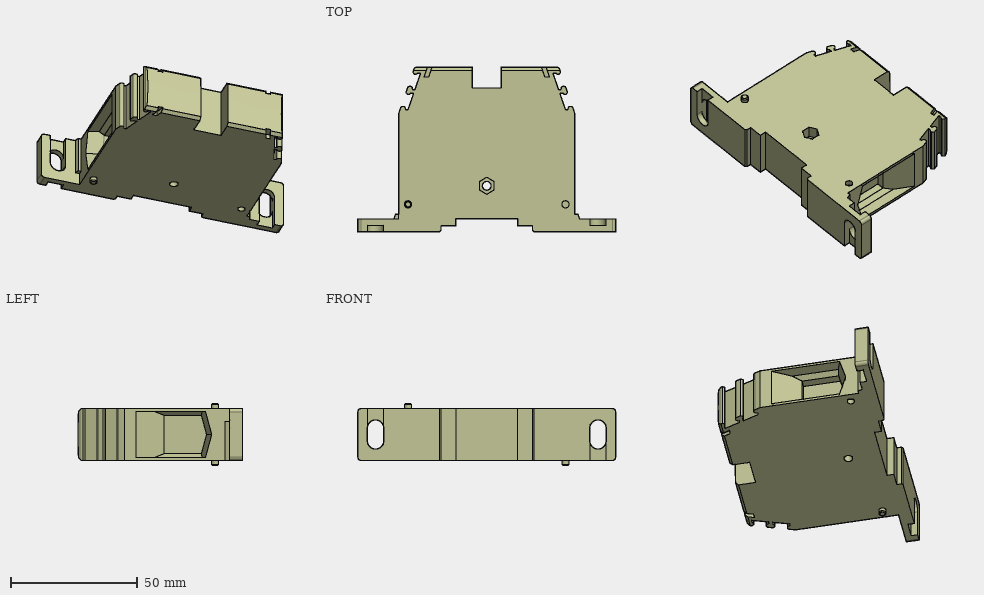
import cadquery as cq
import math


LENGTH = 102.0
HEIGHT = 65.2
THICKNESS = 20.6
HALF_THICKNESS = THICKNESS / 2
BODY_HALF_WIDTH = 34.9

FOOT_HEIGHT = 5.2
FOOT_CORNER_RADIUS = 1.3
RAIL_HALF_WIDTH = 12.2
RAIL_STEP_HALF_WIDTH = 18.1
RAIL_STEP_HEIGHT = 2.4
RAIL_CHAMFER = 0.6

SHOULDER_TAN = math.tan(math.radians(19))
SHOULDER_TOP_X = 26.2
SHOULDER_TOP_Y = 62.7
TOOTH_REACH = 3.2
TOOTH_PITCH = 8.0
HOOK_TIP_Y = 63.1
BARB_DROP = 0.8
BARB_FACET_RUN = 0.6
BARB_TOE_RUN = 1.2
BARB_HEEL_RUN = 1.8
BUMP_ABOVE_TIP = 1.1
BUMP_HEIGHT = 1.3
BUMP_FLANK_RISE = 0.7
BUMP_CREST_RUN = 2.1
BUMP_INNER_RUN = 1.0
BUMP_INNER_RISE = 0.7
VALLEY_WIDTH = 0.8
FLANK_BOTTOM_Y = 46.7
HOOK_CORNER_Y = 64.3
HOOK_CORNER_RUN = 0.8

CROWN_RISE = 0.2
TOP_CHAMFER = 1.2
GAP_HALF_WIDTH = 5.7
GAP_FLOOR_Y = 56.9

NOTCH_FLOOR_Y = 61.3
NOTCH_INNER_X = 23.0
NOTCH_WIDTH = 1.8
NOTCH_DEPTH = 1.8

POCKET_TOP_Y = 42.2
POCKET_INNER_TOP_Y = 31.1
POCKET_TIP_Y = 12.2
POCKET_TIP_TAPER = 2.0
POCKET_TIP_SLOPE = 0.27
POCKET_HALF_HEIGHT = 9.1
POCKET_INNER_HALF_HEIGHT = 7.5
POCKET_STRAIGHT_DEPTH = 4.3
POCKET_TAPER_DEPTH = 6.3
POCKET_DEPTH = 9.4

SLOT_X = 44.0
SLOT_WIDTH = 6.4
SLOT_LENGTH = 11.4

GUSSET_HEIGHT = 1.8
GUSSET_TOP_WIDTH = 1.2
GUSSET_BOTTOM_WIDTH = 1.8
GUSSET_LENGTH = 15.4

SCREW_Y = 18.3
SCREW_DIAMETER = 3.4
NUT_ACROSS_FLATS = 5.8
NUT_DEPTH = 5.1

PIN_X = 31.1
PIN_Y = 10.9
PIN_DIAMETER = 2.9
PIN_PROTRUSION = 1.9
PIN_CHAMFER = 0.4
SOCKET_DEPTH = 2.4


def shoulder_x(y, reach=0.0):
    """X of the sloping shoulder at height y, moved outward by reach."""
    return SHOULDER_TOP_X + (SHOULDER_TOP_Y - y) * SHOULDER_TAN + reach


def add_bump(outline, base_y):
    """Continue an upward outline from a tooth's outer flank over its rounded top to the shoulder."""
    base_x = shoulder_x(base_y)
    flank_y = base_y + BUMP_FLANK_RISE
    return (
        outline.lineTo(shoulder_x(flank_y, TOOTH_REACH), flank_y)
        .threePointArc(
            (base_x + BUMP_CREST_RUN, base_y + BUMP_HEIGHT),
            (base_x + BUMP_INNER_RUN, base_y + BUMP_INNER_RISE),
        )
        .lineTo(base_x + VALLEY_WIDTH, base_y)
        .lineTo(base_x, base_y)
    )


def add_barb(outline, tip_y):
    """Continue an upward outline from the shoulder along the underside of a tooth to its tip."""
    tip_x = shoulder_x(tip_y, TOOTH_REACH)
    root_y = tip_y - BARB_DROP / 2
    low_y = tip_y - BARB_DROP
    return (
        outline.lineTo(shoulder_x(root_y), root_y)
        .lineTo(tip_x - BARB_HEEL_RUN, root_y)
        .threePointArc((tip_x - BARB_TOE_RUN, low_y), (tip_x - BARB_FACET_RUN, low_y))
        .lineTo(tip_x, tip_y)
    )


def half_plate():
    """The +X half of the block: foot, side, latch teeth and top, extruded through the thickness."""
    hook_corner_x = shoulder_x(HOOK_CORNER_Y, TOOTH_REACH)
    outline = (
        cq.Workplane("XY")
        .moveTo(0, FOOT_HEIGHT)
        .lineTo(RAIL_HALF_WIDTH, FOOT_HEIGHT)
        .lineTo(RAIL_HALF_WIDTH, RAIL_STEP_HEIGHT)
        .lineTo(RAIL_STEP_HALF_WIDTH, RAIL_STEP_HEIGHT)
        .lineTo(RAIL_STEP_HALF_WIDTH, RAIL_CHAMFER)
        .lineTo(RAIL_STEP_HALF_WIDTH + RAIL_CHAMFER, 0)
        .lineTo(LENGTH / 2, 0)
        .lineTo(LENGTH / 2, FOOT_HEIGHT)
        .lineTo(BODY_HALF_WIDTH, FOOT_HEIGHT)
        .lineTo(BODY_HALF_WIDTH, FLANK_BOTTOM_Y)
    )
    for next_tip_y in (HOOK_TIP_Y - TOOTH_PITCH, HOOK_TIP_Y):
        outline = add_bump(outline, next_tip_y - TOOTH_PITCH + BUMP_ABOVE_TIP)
        outline = add_barb(outline, next_tip_y)
    return (
        outline.lineTo(hook_corner_x, HOOK_CORNER_Y)
        .tangentArcPoint((hook_corner_x - HOOK_CORNER_RUN, HEIGHT), relative=False)
        .lineTo(GAP_HALF_WIDTH, HEIGHT)
        .lineTo(GAP_HALF_WIDTH, GAP_FLOOR_Y)
        .lineTo(0, GAP_FLOOR_Y)
        .close()
        .extrude(HALF_THICKNESS, both=True)
        .edges("|Y and >X")
        .fillet(FOOT_CORNER_RADIUS)
    )


def crown_envelope():
    """A long bar whose section has the chamfered, slightly crowned top of the block."""
    crown_edge_y = HEIGHT - CROWN_RISE
    crown_half_width = HALF_THICKNESS - TOP_CHAMFER
    return (
        cq.Workplane("YZ")
        .moveTo(0, -HALF_THICKNESS)
        .lineTo(crown_edge_y - TOP_CHAMFER, -HALF_THICKNESS)
        .lineTo(crown_edge_y, -crown_half_width)
        .threePointArc((HEIGHT, 0), (crown_edge_y, crown_half_width))
        .lineTo(crown_edge_y - TOP_CHAMFER, HALF_THICKNESS)
        .lineTo(0, HALF_THICKNESS)
        .close()
        .extrude(LENGTH / 2, both=True)
    )


def gusset():
    """The +X corner gusset, reaching from the +Z face part of the way through."""
    return (
        cq.Workplane("XY", origin=(BODY_HALF_WIDTH, FOOT_HEIGHT, HALF_THICKNESS))
        .polyline([(0, 0), (GUSSET_BOTTOM_WIDTH, 0), (GUSSET_TOP_WIDTH, GUSSET_HEIGHT), (0, GUSSET_HEIGHT)])
        .close()
        .extrude(-GUSSET_LENGTH)
    )


def pocket():
    """The +X conductor pocket: a ramp, stepped-in walls and a V-shaped tapered lower end."""
    mouth_x = BODY_HALF_WIDTH
    taper_x = mouth_x - POCKET_TAPER_DEPTH
    floor_x = mouth_x - POCKET_DEPTH
    straight_x = mouth_x - POCKET_STRAIGHT_DEPTH

    ramp = (
        cq.Workplane("XY")
        .polyline(
            [
                (mouth_x, 0),
                (mouth_x, POCKET_TOP_Y),
                (taper_x, POCKET_INNER_TOP_Y),
                (floor_x, POCKET_INNER_TOP_Y),
                (floor_x, 0),
            ]
        )
        .close()
        .extrude(HALF_THICKNESS, both=True)
    )
    walls = (
        cq.Workplane("XZ")
        .polyline(
            [
                (mouth_x, POCKET_HALF_HEIGHT),
                (straight_x, POCKET_HALF_HEIGHT),
                (taper_x, POCKET_INNER_HALF_HEIGHT),
                (floor_x, POCKET_INNER_HALF_HEIGHT),
                (floor_x, -POCKET_INNER_HALF_HEIGHT),
                (taper_x, -POCKET_INNER_HALF_HEIGHT),
                (straight_x, -POCKET_HALF_HEIGHT),
                (mouth_x, -POCKET_HALF_HEIGHT),
            ]
        )
        .close()
        .extrude(-HEIGHT)
    )

    def tip_section(tip_y):
        side_y = tip_y + POCKET_TIP_SLOPE * HALF_THICKNESS
        return [
            (tip_y, 0),
            (side_y, HALF_THICKNESS),
            (HEIGHT, HALF_THICKNESS),
            (HEIGHT, -HALF_THICKNESS),
            (side_y, -HALF_THICKNESS),
        ]

    inner_tip = tip_section(POCKET_TIP_Y + POCKET_TIP_TAPER)
    tapered_tip = (
        cq.Workplane("YZ", origin=(taper_x, 0, 0))
        .polyline(inner_tip)
        .close()
        .workplane(offset=POCKET_TAPER_DEPTH)
        .polyline(tip_section(POCKET_TIP_Y))
        .close()
        .loft(ruled=True)
    )
    straight_tip = (
        cq.Workplane("YZ", origin=(floor_x, 0, 0))
        .polyline(inner_tip)
        .close()
        .extrude(POCKET_DEPTH - POCKET_TAPER_DEPTH)
    )
    return ramp.intersect(walls).intersect(tapered_tip.union(straight_tip))


def notch():
    """The +X slanted notch in the +Z face, open at the top of the block."""
    lean = (HEIGHT - NOTCH_FLOOR_Y) * SHOULDER_TAN
    return (
        cq.Workplane("XY", origin=(NOTCH_INNER_X, NOTCH_FLOOR_Y, HALF_THICKNESS))
        .polyline(
            [
                (0, 0),
                (NOTCH_WIDTH, 0),
                (NOTCH_WIDTH - lean, HEIGHT - NOTCH_FLOOR_Y),
                (-lean, HEIGHT - NOTCH_FLOOR_Y),
            ]
        )
        .close()
        .extrude(-NOTCH_DEPTH)
    )


def mounting_slot():
    """The +X slot: its rear half runs out through the +Z face, its front half through the -Z face."""
    half_foot = FOOT_HEIGHT / 2
    slot = (
        cq.Workplane("XZ", origin=(SLOT_X, 0, 0))
        .slot2D(SLOT_LENGTH, SLOT_WIDTH, 90)
        .extrude(-FOOT_HEIGHT)
    )
    straight_half = (SLOT_LENGTH - SLOT_WIDTH) / 2
    runout = cq.Workplane("XY").box(
        SLOT_WIDTH, half_foot, HALF_THICKNESS + straight_half, centered=(True, False, False)
    )
    rear_runout = runout.translate((SLOT_X, half_foot, -straight_half))
    front_runout = runout.translate((SLOT_X, 0, -HALF_THICKNESS))
    return slot.union(rear_runout).union(front_runout)


def half_turn(shape):
    """A copy turned half way round the Y axis."""
    return shape.rotate((0, 0, 0), (0, 1, 0), 180)


def screw_hole():
    """The through hole with a hexagonal nut recess in the +Z face."""
    hole = cq.Workplane("XY").center(0, SCREW_Y).circle(SCREW_DIAMETER / 2).extrude(HALF_THICKNESS, both=True)
    nut = (
        cq.Workplane("XY", origin=(0, SCREW_Y, HALF_THICKNESS))
        .transformed(rotate=(0, 0, 90))
        .polygon(6, NUT_ACROSS_FLATS / math.cos(math.radians(30)))
        .extrude(-NUT_DEPTH)
    )
    return hole.union(nut)


def make_socket(x):
    """A blind pin socket in the +Z face."""
    return (
        cq.Workplane("XY", origin=(x, PIN_Y, HALF_THICKNESS))
        .circle(PIN_DIAMETER / 2)
        .extrude(-SOCKET_DEPTH)
    )


def make_housing():
    half = half_plate()
    housing = half.union(half.mirror("YZ")).intersect(crown_envelope())
    housing = housing.union(gusset()).union(half_turn(gusset()))
    for feature in (pocket(), mounting_slot(), make_socket(PIN_X), make_socket(-PIN_X)):
        housing = housing.cut(feature).cut(half_turn(feature))
    for side in (notch(), notch().mirror("YZ")):
        housing = housing.cut(side).cut(side.mirror("XY"))
    return housing.cut(screw_hole())


def make_pin():
    """The pin standing out of the +Z face on the -X side."""
    return (
        cq.Workplane("XY", origin=(-PIN_X, PIN_Y, HALF_THICKNESS - SOCKET_DEPTH))
        .circle(PIN_DIAMETER / 2)
        .extrude(SOCKET_DEPTH + PIN_PROTRUSION)
        .faces(">Z")
        .chamfer(PIN_CHAMFER)
    )


housing = make_housing()
pins = [make_pin(), half_turn(make_pin())]
result = cq.Compound.makeCompound([housing.val(), *[pin.val() for pin in pins]])